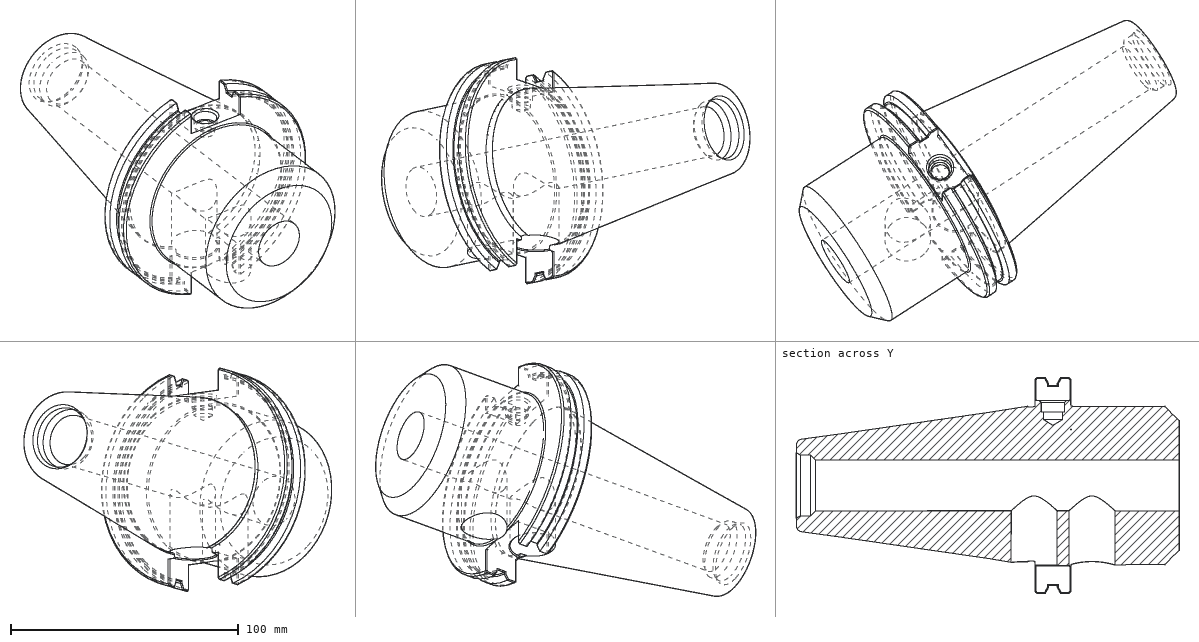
import cadquery as cq
import math


gauge_diameter = 69.8
gauge_x = 101.6
taper_rate = 7 / 24
small_end_rounding = 2.9
neck_radius = 34.7

flange_diameter = 98.5
flange_start_x = 104.8
flange_end_x = 120.7
flange_chamfer = 0.8
flange_root_fillet = 0.7

groove_half_width = 3.4
groove_floor_half_width = 1.9
groove_floor_radius = 45.8
groove_wall_angle = 30

nose_end_x = 168.3
nose_chamfer = 6.4

bore_diameter = 22.0
entry_diameter = 26.5
entry_mouth_diameter = 28.6
entry_mouth_depth = 2.0
entry_depth = 6.4

key_width = 25.5
upper_key_floor_z = 37.4
lower_key_floor_z = -35.3
key_edge_chamfer = 0.5
key_foot_fillet = 0.3

blind_diameter = 10.1
blind_mouth_diameter = 12.0
blind_depth = 5.0
drill_diameter = 8.0
drill_depth = 8.4
drill_point_angle = 118

screw_hole_diameter = 20.0
screw_hole_chamfer = 0.5
screw_setback = 38.4
screw_spacing = 25.4

gauge_radius = gauge_diameter / 2
flange_radius = flange_diameter / 2
small_end_radius = gauge_radius - gauge_x * taper_rate / 2
bore_radius = bore_diameter / 2
entry_radius = entry_diameter / 2
entry_cone_end_x = entry_depth + entry_radius - bore_radius
key_floors = (upper_key_floor_z, lower_key_floor_z)
flange_middle_x = (flange_start_x + flange_end_x) / 2
nearer_screw_x = nose_end_x - screw_setback
farther_screw_x = nearer_screw_x - screw_spacing
flange_width = flange_end_x - flange_start_x
groove_wall_spread = groove_half_width - groove_floor_half_width
groove_wall_drop = groove_wall_spread / math.tan(math.radians(groove_wall_angle))


def turn(outline):
    """Turn a closed (x, radius) outline about the X axis."""
    return outline.revolve(360, (0, 0, 0), (1, 0, 0))


def make_turned_blank():
    """Taper, neck, flange and nose in one turned shape."""
    rim_radius = flange_radius - flange_chamfer
    root = flange_root_fillet
    outline = (
        cq.Workplane("XY")
        .lineTo(0, small_end_radius)
        .lineTo(gauge_x, gauge_radius)
        .lineTo(gauge_x + gauge_radius - neck_radius, neck_radius)
        .lineTo(flange_start_x - root, neck_radius)
        .tangentArcPoint((flange_start_x, neck_radius + root), relative=False)
        .lineTo(flange_start_x, rim_radius)
        .lineTo(flange_start_x + flange_chamfer, flange_radius)
        .lineTo(flange_end_x - flange_chamfer, flange_radius)
        .lineTo(flange_end_x, rim_radius)
        .lineTo(flange_end_x, gauge_radius + root)
        .tangentArcPoint((flange_end_x + root, gauge_radius), relative=False)
        .lineTo(nose_end_x - nose_chamfer, gauge_radius)
        .lineTo(nose_end_x, gauge_radius - nose_chamfer)
        .lineTo(nose_end_x, 0)
        .close()
    )
    return turn(outline).faces("<X").edges().fillet(small_end_rounding)


def make_gripper_groove():
    """V groove with short straight walls above a flat floor."""
    wall_foot_radius = flange_radius - groove_wall_drop
    outline = cq.Workplane("XY").polyline([
        (flange_middle_x - groove_half_width, flange_radius),
        (flange_middle_x - groove_floor_half_width, wall_foot_radius),
        (flange_middle_x - groove_floor_half_width, groove_floor_radius),
        (flange_middle_x + groove_floor_half_width, groove_floor_radius),
        (flange_middle_x + groove_floor_half_width, wall_foot_radius),
        (flange_middle_x + groove_half_width, flange_radius),
    ]).close()
    return turn(outline)


def make_bore():
    """Through bore with a wider entry at the small end."""
    outline = cq.Workplane("XY").polyline([
        (0, 0),
        (0, entry_mouth_diameter / 2),
        (entry_mouth_depth, entry_radius),
        (entry_depth, entry_radius),
        (entry_cone_end_x, bore_radius),
        (nose_end_x, bore_radius),
        (nose_end_x, 0),
    ]).close()
    return turn(outline)


def make_keyway(floor_z):
    """Slot across the flange, from its floor out past the rim."""
    outer_z = math.copysign(flange_radius, floor_z)
    height = abs(outer_z - floor_z)
    middle_z = (outer_z + floor_z) / 2
    return cq.Workplane("XY").box(flange_width, key_width, height).translate((flange_middle_x, 0, middle_z))


def make_blind_hole():
    """Chamfered blind hole that ends in a smaller drill point."""
    mouth_radius = blind_mouth_diameter / 2
    radius = blind_diameter / 2
    drill_radius = drill_diameter / 2
    step_z = upper_key_floor_z - blind_depth
    drill_end_z = upper_key_floor_z - drill_depth
    point_z = drill_end_z - drill_radius / math.tan(math.radians(drill_point_angle / 2))
    outline = cq.Workplane("XZ").polyline([
        (0, upper_key_floor_z),
        (mouth_radius, upper_key_floor_z),
        (radius, upper_key_floor_z - (mouth_radius - radius)),
        (radius, step_z),
        (drill_radius, step_z),
        (drill_radius, drill_end_z),
        (0, point_z),
    ]).close()
    return outline.revolve(360, (0, 0, 0), (0, 1, 0)).translate((flange_middle_x, 0, 0))


def make_screw_hole(x):
    """Radial hole from the lower side into the bore."""
    return cq.Workplane("XY").center(x, 0).circle(screw_hole_diameter / 2).extrude(-flange_radius)


def make_screw_mouth(x):
    """Cone that breaks the edge of a screw hole at the floor of the lower keyway."""
    radius = screw_hole_diameter / 2
    floor = cq.Workplane("XY", origin=(x, 0, lower_key_floor_z))
    return floor.circle(radius + screw_hole_chamfer).extrude(screw_hole_chamfer, taper=45)


def find_wall_edges(body):
    """Sort the edges of the flat keyway walls into those at the floor and all others."""
    feet = []
    outer_edges = []
    for edge in body.faces("+Y or -Y").faces("%PLANE").edges().vals():
        middle_z = edge.Center().z
        is_foot = any(math.isclose(middle_z, z, abs_tol=0.0002) for z in key_floors)
        (feet if is_foot else outer_edges).append(edge)
    return feet, outer_edges


def soften_keyway_edges(body):
    """Chamfer the outer edges of the keyway walls, then round the wall feet."""
    _, outer_edges = find_wall_edges(body)
    body = body.newObject(outer_edges).chamfer(key_edge_chamfer)
    feet, _ = find_wall_edges(body)
    return body.newObject(feet).fillet(key_foot_fillet)


holder = make_turned_blank().cut(make_gripper_groove())
for key_floor_z in key_floors:
    holder = holder.cut(make_keyway(key_floor_z))
holder = soften_keyway_edges(holder)
holder = holder.cut(make_bore()).cut(make_blind_hole())
for screw_x in (nearer_screw_x, farther_screw_x):
    holder = holder.cut(make_screw_hole(screw_x))
holder = holder.cut(make_screw_mouth(farther_screw_x))

result = cq.Compound.makeCompound([holder.val()])